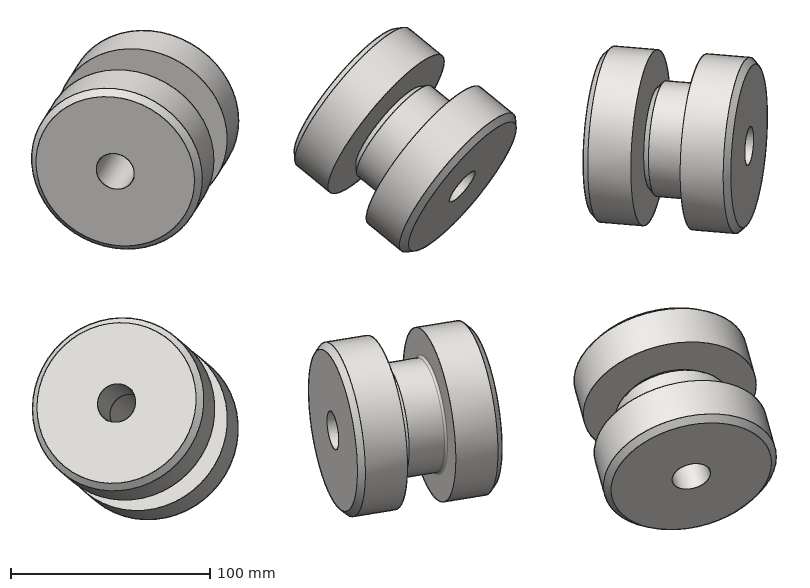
import cadquery as cq

outer_diameter = 88.9
overall_length = 76.2
flange_thickness = overall_length / 3
flange_gap = overall_length - 2 * flange_thickness
hub_diameter = 58.4
stem_diameter = 28.5
stem_length = 2.4
bore_diameter = 19.7
chamfer = 3.2
root_fillet = 1.25

outer_radius = outer_diameter / 2
hub_radius = hub_diameter / 2
stem_radius = stem_diameter / 2
bore_radius = bore_diameter / 2

near_end = -overall_length / 2
hub_base = near_end + flange_thickness
far_flange_face = hub_base + flange_gap
hub_end = far_flange_face - stem_length
far_end = overall_length / 2


def revolve_about_y(profile):
    """Turn a closed half-section, drawn as (radius, y), about the Y axis."""
    return profile.close().revolve(360, (0, 0, 0), (0, 1, 0))


def make_hub_flange():
    """Bored flange, filleted hub and stem, turned as one piece."""
    profile = (
        cq.Workplane("XY")
        .moveTo(bore_radius, near_end)
        .lineTo(outer_radius - chamfer, near_end)
        .lineTo(outer_radius, near_end + chamfer)
        .lineTo(outer_radius, hub_base)
        .lineTo(hub_radius + root_fillet, hub_base)
        .radiusArc((hub_radius, hub_base + root_fillet), root_fillet)
        .lineTo(hub_radius, hub_end - chamfer)
        .lineTo(hub_radius - chamfer, hub_end)
        .lineTo(stem_radius, hub_end)
        .lineTo(stem_radius, far_flange_face)
        .lineTo(bore_radius, far_flange_face)
    )
    return revolve_about_y(profile)


def make_end_flange():
    """Bored flange with its chamfered rim facing +Y."""
    profile = (
        cq.Workplane("XY")
        .moveTo(bore_radius, far_flange_face)
        .lineTo(outer_radius, far_flange_face)
        .lineTo(outer_radius, far_end - chamfer)
        .lineTo(outer_radius - chamfer, far_end)
        .lineTo(bore_radius, far_end)
    )
    return revolve_about_y(profile)


hub_flange = make_hub_flange()
end_flange = make_end_flange()

result = cq.Compound.makeCompound([hub_flange.val(), end_flange.val()])